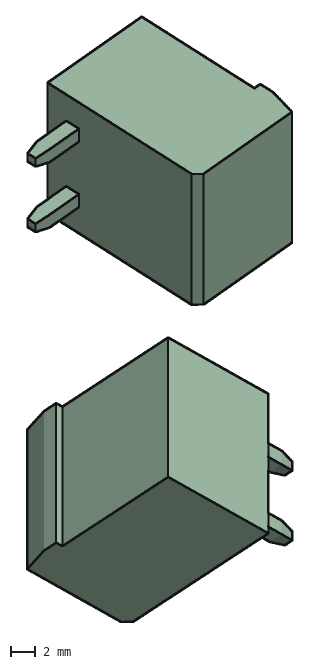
import cadquery as cq

length = 16.6
height = 14.05
depth = 10.94
front_chamfer = 0.68

ridge_height = 0.68
ridge_start = 12.45
ridge_flat = 1.41

pin_width = 1.4
pin_tip_width = 0.9
pin_straight = 3.4
pin_taper = 1.36
pin_x = 2.77
pin_count = 2
pin_pitch = height / pin_count


def make_housing():
    ridge_top = depth + ridge_height
    outline = [
        (0, 0),
        (length - front_chamfer, 0),
        (length, front_chamfer),
        (length, depth),
        (ridge_start + ridge_flat, ridge_top),
        (ridge_start, ridge_top),
        (ridge_start, depth),
        (0, depth),
    ]
    return cq.Workplane("XY").polyline(outline).close().extrude(height)


def make_pin(z):
    base = cq.Workplane("XZ").center(pin_x, z)
    shank = base.rect(pin_width, pin_width).extrude(pin_straight)
    tip = (
        base.workplane(offset=pin_straight)
        .rect(pin_width, pin_width)
        .workplane(offset=pin_taper)
        .rect(pin_tip_width, pin_tip_width)
        .loft(combine=False)
    )
    return shank.union(tip)


result = make_housing()
for index in range(pin_count):
    result = result.union(make_pin((index + 0.5) * pin_pitch))